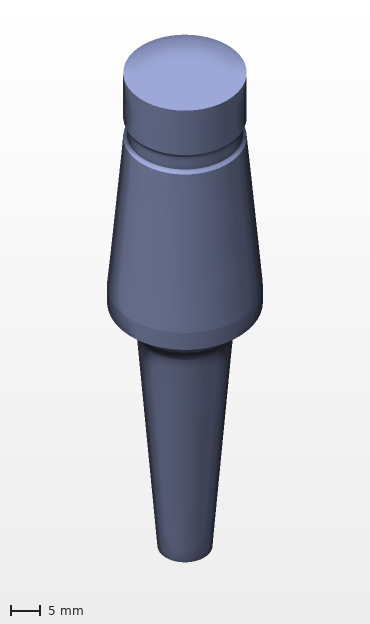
import cadquery as cq

total_height = 100.0
cap_height = 9.4
flange_bottom = 51.5
flange_height = 3.6
groove_bottom = 87.1

tip_radius = 4.6
shank_top_radius = 8.2
flange_radius = 13.0
cap_radius = 10.3
groove_radius = 9.7

cap_bevel_height = 0.9
shank_fillet_radius = 3.0

groove_depth = cap_radius - groove_radius
cap_bottom = total_height - cap_height
groove_top = cap_bottom - cap_bevel_height
body_top = groove_bottom - groove_depth
flange_top = flange_bottom + flange_height
shank_top = flange_bottom - (flange_radius - shank_top_radius)

half_section = [
    (0, 0),
    (tip_radius, 0),
    (shank_top_radius, shank_top),
    (flange_radius, flange_bottom),
    (flange_radius, flange_top),
    (cap_radius, body_top),
    (groove_radius, groove_bottom),
    (groove_radius, groove_top),
    (cap_radius, cap_bottom),
    (cap_radius, total_height),
    (0, total_height),
]

turned_body = cq.Workplane("XZ").polyline(half_section).close().revolve(360, (0, 0), (0, 1))

shank_corner = cq.selectors.NearestToPointSelector((0, 0, shank_top))
result = turned_body.edges("%CIRCLE").edges(shank_corner).fillet(shank_fillet_radius)